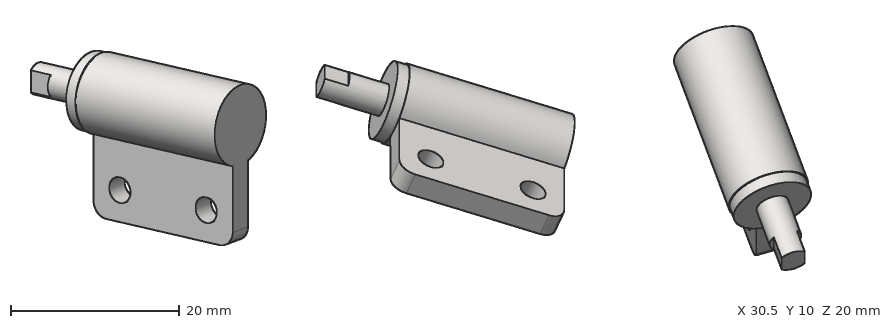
import cadquery as cq

overall_length = 30.5
overall_height = 19.98

barrel_diameter = 10.0
tab_thickness = 3.02
tab_corner_radius = 1.98
mounting_hole_diameter = 3.2
mounting_hole_inset = 4.0

cap_diameter = 9.73
cap_thickness = 1.5

shaft_diameter = 4.0
shaft_reach = 8.0
flat_length = 3.0
width_across_flats = 2.9

housing_length = overall_length - shaft_reach - cap_thickness
tab_bottom = barrel_diameter / 2 - overall_height
shaft_length = shaft_reach + cap_thickness
shaft_tip = -shaft_length


def cylinder_along_x(start, length, diameter):
    """Solid cylinder on the X axis, running toward +X from the given start."""
    return cq.Workplane("YZ", origin=(start, 0, 0)).circle(diameter / 2).extrude(length)


def make_housing():
    """Barrel and tab in one piece, with rounded lower corners and two through holes."""
    barrel = cylinder_along_x(0, housing_length, barrel_diameter)
    tab = (
        cq.Workplane("XY", origin=(housing_length / 2, 0, tab_bottom))
        .rect(housing_length, tab_thickness)
        .extrude(-tab_bottom)
        .edges("|Y and <Z")
        .fillet(tab_corner_radius)
    )
    hole_height = tab_bottom + mounting_hole_inset
    hole_centers = [
        (mounting_hole_inset, hole_height),
        (housing_length - mounting_hole_inset, hole_height),
    ]
    holes = (
        cq.Workplane("XZ")
        .pushPoints(hole_centers)
        .circle(mounting_hole_diameter / 2)
        .extrude(tab_thickness, both=True)
    )
    return barrel.union(tab).cut(holes)


def make_cap():
    """Disc against the housing's front face, bored through for the shaft."""
    disc = cylinder_along_x(-cap_thickness, cap_thickness, cap_diameter)
    bore = cylinder_along_x(-cap_thickness, cap_thickness, shaft_diameter)
    return disc.cut(bore)


def make_shaft():
    """Round shaft ending at the housing's front face, with parallel flats on its -Y and +Y sides."""
    flatted_end = cylinder_along_x(shaft_tip, flat_length, shaft_diameter).intersect(
        cq.Workplane("XY")
        .box(flat_length, width_across_flats, shaft_diameter)
        .translate((shaft_tip + flat_length / 2, 0, 0))
    )
    round_length = shaft_length - flat_length
    round_part = cylinder_along_x(-round_length, round_length, shaft_diameter)
    return round_part.union(flatted_end)


housing = make_housing()
cap = make_cap()
shaft = make_shaft()

result = cq.Compound.makeCompound([housing.val(), cap.val(), shaft.val()])